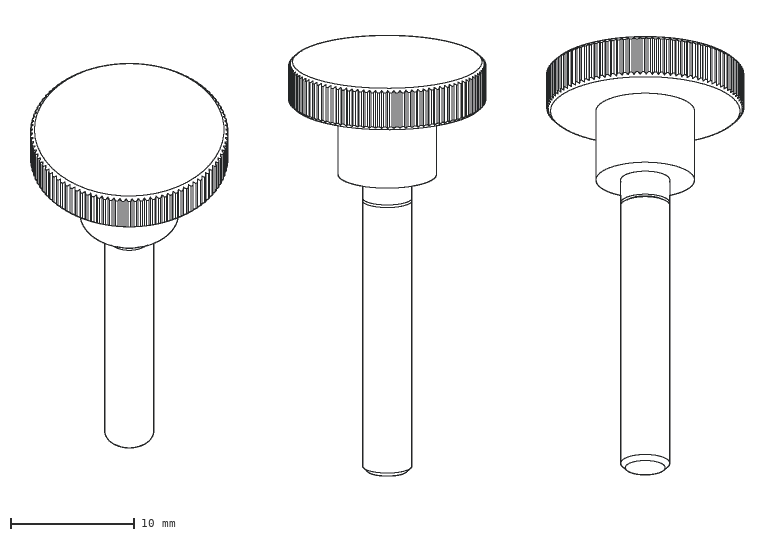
import cadquery as cq
import math

total_length = 34.5
head_height = 3.5
boss_height = 6.0
shank_length = total_length - head_height - boss_height

head_radius = 8.0
knurl_count = 100
knurl_depth = 0.16
knurl_half_angle = math.radians(45)
head_chamfer = 2 * knurl_depth

boss_radius = 4.0
shank_radius = 2.0

thread_pitch = 0.7
thread_flank_angle = math.radians(30)
thread_height = thread_pitch / 2 / math.tan(thread_flank_angle)
thread_depth = 5 / 8 * thread_height
tip_chamfer = thread_depth

collar_length = 2.0
pin_cone_depth = thread_depth
pin_cone_height = pin_cone_depth * math.tan(thread_flank_angle)

head_top = total_length / 2
boss_top = head_top - head_height
shank_top = boss_top - boss_height


def cylinder(radius, top, height):
    """Solid cylinder on the Z axis, hanging down from its top level."""
    return cq.Workplane("XY").workplane(offset=top - height).circle(radius).extrude(height)


def knurl_grooves():
    """Straight right-angled V grooves spaced evenly around the head rim."""
    root = head_radius - knurl_depth
    mouth = head_radius + knurl_depth
    half_mouth = (mouth - root) * math.tan(knurl_half_angle)
    grooves = []
    for index in range(knurl_count):
        groove = (
            cq.Workplane("XY")
            .workplane(offset=boss_top)
            .polyline([(root, 0), (mouth, -half_mouth), (mouth, half_mouth)])
            .close()
            .extrude(head_height)
            .rotate((0, 0, 0), (0, 0, 1), 360 / knurl_count * index)
        )
        grooves.append(groove.val())
    return cq.Workplane(obj=cq.Compound.makeCompound(grooves))


def head():
    """Disc with both rims chamfered and a straight knurl around it."""
    disc = cylinder(head_radius, head_top, head_height).edges().chamfer(head_chamfer)
    return disc.cut(knurl_grooves())


def shank():
    """Collar under the boss, then the pin with a coned top end and a chamfered tip."""
    pin_top = shank_top - collar_length
    tip = shank_top - shank_length
    half_section = (
        cq.Workplane("XZ")
        .moveTo(0, shank_top)
        .lineTo(shank_radius, shank_top)
        .lineTo(shank_radius, pin_top)
        .lineTo(shank_radius - pin_cone_depth, pin_top)
        .lineTo(shank_radius, pin_top - pin_cone_height)
        .lineTo(shank_radius, tip + tip_chamfer)
        .lineTo(shank_radius - tip_chamfer, tip)
        .lineTo(0, tip)
        .close()
    )
    return half_section.revolve(360, (0, 0, 0), (0, 1, 0))


boss = cylinder(boss_radius, boss_top, boss_height)
result = head().union(boss).union(shank())